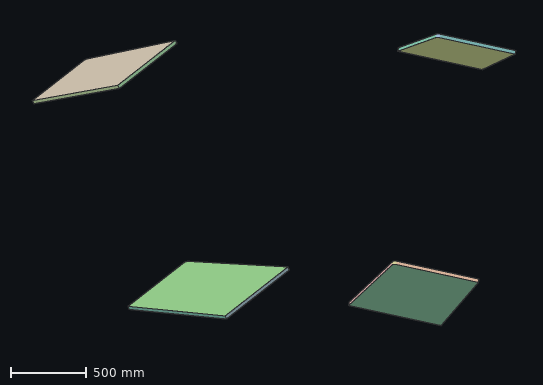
import cadquery as cq
import math

TOTAL_WIDTH = 1697.0
TOTAL_HEIGHT = 1945.0

PANEL_LENGTH = 945.0
THICKNESS = 25.0
CORNER_RADIUS = 23.0

UPPER_SLOPE = 37.6
UPPER_LOW_DEPTH = 542.0
UPPER_HIGH_DEPTH = 587.0

LOWER_SLOPE = 25.9
LOWER_LOW_DEPTH = 591.0
LOWER_HIGH_DEPTH = 642.0


def panel_extent(slope):
    """Return the X and Z extent of a tilted panel."""
    angle = math.radians(slope)
    width = PANEL_LENGTH * math.cos(angle) + THICKNESS * math.sin(angle)
    height = PANEL_LENGTH * math.sin(angle) + THICKNESS * math.cos(angle)
    return width, height


def make_panel(slope, low_depth, high_depth):
    """Make a tapered panel, rising toward +X, with its bounding box starting at the origin."""
    outline = [
        (0, 0),
        (PANEL_LENGTH, 0),
        (PANEL_LENGTH, high_depth),
        (0, low_depth),
    ]
    flat_panel = cq.Workplane("XY").polyline(outline).close().extrude(THICKNESS)
    rounded_panel = flat_panel.edges("|Z").edges("<X").edges(">Y").fillet(CORNER_RADIUS)
    tilted_panel = rounded_panel.rotate((0, 0, 0), (0, 1, 0), -slope)

    overhang = THICKNESS * math.sin(math.radians(slope))
    return tilted_panel.translate((overhang, 0, 0))


_, upper_height = panel_extent(UPPER_SLOPE)
upper_panel = make_panel(UPPER_SLOPE, UPPER_LOW_DEPTH, UPPER_HIGH_DEPTH).translate(
    (0, 0, TOTAL_HEIGHT - upper_height)
)

lower_width, _ = panel_extent(LOWER_SLOPE)
lower_panel = make_panel(LOWER_SLOPE, LOWER_LOW_DEPTH, LOWER_HIGH_DEPTH).translate(
    (TOTAL_WIDTH - lower_width, 0, 0)
)

result = cq.Compound.makeCompound([upper_panel.val(), lower_panel.val()])